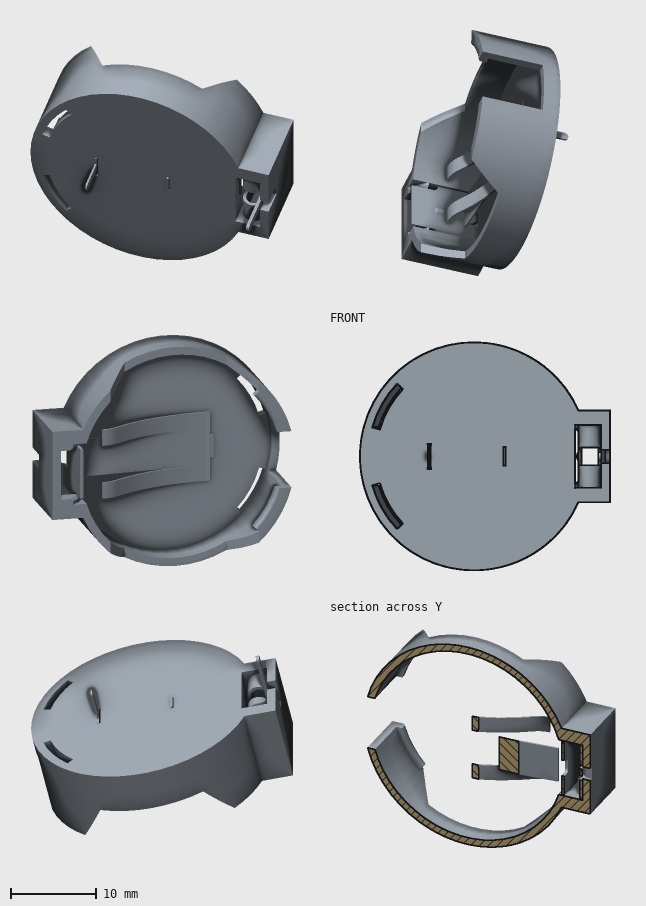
import cadquery as cq
import math


HOUSING_RADIUS = 13.375
HOUSING_DEPTH = 9.5
CAVITY_RADIUS = 12.4
FLOOR = 1.43
EPS = 0.5

CUTOUT_FLOOR = 5.05
CUTOUT_HALF_BOTTOM = 6.16
CUTOUT_HALF_TOP = 8.97

NOTCH_FLOOR = 2.04
NOTCH_HALF = 3.43

LIP_START_ANGLE = 16.0
LIP_END_ANGLE = 43.4
LIP_INNER_RADIUS = 11.68
LIP_ROUNDING = 0.42
LIP_BOTTOM = 8.43
FLOOR_SLOT_INNER_RADIUS = 11.48
FLOOR_SLOT_OUTER_RADIUS = 12.36

BLOCK_END = 15.965
BLOCK_HALF = 5.38
POCKET_START = 11.87
POCKET_END = 14.92
POCKET_HALF = 3.68
PIN_NOTCH_HALF = 0.78
PIN_NOTCH_DEPTH = 3.0
PIN_NOTCH_SLOPE_X = 0.45
PIN_NOTCH_SLOPE_Y = 0.25

BLOCK_LIP_GAP_HALF = 2.97
BLOCK_LIP_BOTTOM = 7.55
BLOCK_LIP_SLOPE = 1.6
BLOCK_LIP_BEVEL = 0.27

POSITIVE_SHEET = 0.38
POSITIVE_HALF = 3.65
POSITIVE_LEFT = 12.23
POSITIVE_BOTTOM = 0.62
POSITIVE_BACK_TOP = 7.5
NECK_START = 6.25
NECK_END = NECK_START + 0.4
WINDOW_HALF = 1.03
WINDOW_TOP = 3.6
WINDOW_CORNER = 0.5
DIMPLE_LOW = 4.18
DIMPLE_HIGH = 6.72
DIMPLE_WIDTH = 1.02
DIMPLE_CORNER = 0.38
DIMPLE_HEIGHT = 0.17
DIMPLE_TAPER = 65.0

PIN_WIDTH = 1.0
POSITIVE_PIN_LENGTH = 4.32
NEGATIVE_PIN_LENGTH = 3.75

NEGATIVE_SHEET = 0.22
TERMINAL_X = -5.44
TERMINAL_HALF = 1.38
TERMINAL_END = -2.0
TERMINAL_SLOT_LENGTH = 0.4
TERMINAL_SLOT_HALF = 1.47

SPRING_START = -5.0
SPRING_BEND = -4.4
SPRING_TILT = 4.86
SPRING_SEAT = FLOOR + NEGATIVE_SHEET
TONGUE_END = 11.6
TONGUE_HALF = 2.25
FINGER_OUTER = 4.2
FINGER_ARC_START = -2.5
FINGER_ARC_RADIUS = 19.7
FINGER_STEEPEST = 35.5
FINGER_TIP_RADIUS = 3.1
TAB_X = 3.44
TAB_HALF = 1.04
TAB_DROP = 0.22
TAB_SLOT_LENGTH = 0.31
TAB_SLOT_HALF = 1.1


def box(x0, x1, y0, y1, z0, z1):
    return cq.Workplane("XY").box(x1 - x0, y1 - y0, z1 - z0, centered=False).translate((x0, y0, z0))


def disc(radius, y0, y1):
    return cq.Workplane("XZ").circle(radius).extrude(y0 - y1).translate((0, y0, 0))


def prism(points, z0, z1):
    """Polygon in X and Y, extruded from z0 to z1."""
    return cq.Workplane("XY").workplane(offset=z0).polyline(points).close().extrude(z1 - z0)


def both_sides(body):
    return body.union(body.mirror("XY"))


def turned_sector(inner, outer, y0, y1):
    """Ring sector about Y over the lip angles on the -X, +Z side."""
    section = [(-outer, y0), (-inner, y0), (-inner, y1), (-outer, y1)]
    sweep = LIP_END_ANGLE - LIP_START_ANGLE
    turned = cq.Workplane("XY").polyline(section).close().revolve(sweep, (0, 0, 0), (0, 1, 0))
    return turned.rotate((0, 0, 0), (0, 1, 0), LIP_START_ANGLE)


def retaining_lips():
    wall_middle = (CAVITY_RADIUS + HOUSING_RADIUS) / 2
    lip = turned_sector(LIP_INNER_RADIUS, wall_middle, LIP_BOTTOM, HOUSING_DEPTH)
    inner_edge = cq.selectors.RadiusNthSelector(0)
    return both_sides(lip.faces(">Y").edges(inner_edge).fillet(LIP_ROUNDING))


def floor_slots():
    return both_sides(turned_sector(FLOOR_SLOT_INNER_RADIUS, FLOOR_SLOT_OUTER_RADIUS, -EPS, FLOOR + EPS))


def block_lips():
    outline = [
        (POCKET_START, BLOCK_LIP_BOTTOM),
        (POCKET_END, BLOCK_LIP_BOTTOM),
        (POCKET_END, HOUSING_DEPTH),
        (POCKET_START + BLOCK_LIP_SLOPE, HOUSING_DEPTH),
    ]
    lip = prism(outline, BLOCK_LIP_GAP_HALF, BLOCK_HALF)
    lip = lip.faces("<Z").edges("<X").chamfer(BLOCK_LIP_BEVEL)
    return both_sides(lip)


def finger_cutout():
    slope = (CUTOUT_HALF_TOP - CUTOUT_HALF_BOTTOM) / (HOUSING_DEPTH - CUTOUT_FLOOR)
    half_above = CUTOUT_HALF_TOP + slope * EPS
    outline = [
        (-CUTOUT_HALF_BOTTOM, CUTOUT_FLOOR),
        (CUTOUT_HALF_BOTTOM, CUTOUT_FLOOR),
        (half_above, HOUSING_DEPTH + EPS),
        (-half_above, HOUSING_DEPTH + EPS),
    ]
    return both_sides(prism(outline, BLOCK_HALF, HOUSING_RADIUS + EPS))


def pin_notch():
    slope_end = POCKET_END + PIN_NOTCH_SLOPE_X
    outline = [
        (POCKET_END - EPS, -EPS),
        (BLOCK_END + EPS, -EPS),
        (BLOCK_END + EPS, PIN_NOTCH_DEPTH),
        (slope_end, PIN_NOTCH_DEPTH),
        (POCKET_END, PIN_NOTCH_DEPTH + PIN_NOTCH_SLOPE_Y),
        (POCKET_END - EPS, PIN_NOTCH_DEPTH + PIN_NOTCH_SLOPE_Y),
    ]
    return prism(outline, -PIN_NOTCH_HALF, PIN_NOTCH_HALF)


def sheet_slot(x, length, half_width):
    return box(x, x + length, -EPS, FLOOR + EPS, -half_width, half_width)


def make_housing():
    body = disc(HOUSING_RADIUS, 0, HOUSING_DEPTH)
    body = body.union(box(0, BLOCK_END, 0, HOUSING_DEPTH, -BLOCK_HALF, BLOCK_HALF))
    body = body.cut(disc(CAVITY_RADIUS, FLOOR, HOUSING_DEPTH + EPS))
    body = body.cut(box(POCKET_START, POCKET_END, -EPS, HOUSING_DEPTH + EPS, -POCKET_HALF, POCKET_HALF))
    body = body.union(block_lips()).cut(finger_cutout()).union(retaining_lips())
    notch_start = -HOUSING_RADIUS - EPS
    body = body.cut(box(notch_start, 0, NOTCH_FLOOR, HOUSING_DEPTH + EPS, -NOTCH_HALF, NOTCH_HALF))
    body = body.cut(floor_slots()).cut(pin_notch())
    body = body.cut(sheet_slot(TERMINAL_X, TERMINAL_SLOT_LENGTH, TERMINAL_SLOT_HALF))
    return body.cut(sheet_slot(TAB_X, TAB_SLOT_LENGTH, TAB_SLOT_HALF))


def solder_pin(x, sheet, top, length):
    """Flat pin along Y with a round tip at Y = -length."""
    half = PIN_WIDTH / 2
    return (
        cq.Workplane("YZ", origin=(x, 0, 0))
        .moveTo(top, half)
        .lineTo(half - length, half)
        .threePointArc((-length, 0), (half - length, -half))
        .lineTo(top, -half)
        .close()
        .extrude(sheet)
    )


def make_positive_contact():
    bend_radius = (POCKET_END - POSITIVE_LEFT) / 2
    bend_x = POSITIVE_LEFT + bend_radius
    bend_y = POSITIVE_BOTTOM + bend_radius
    inner_radius = bend_radius - POSITIVE_SHEET
    sheet = (
        cq.Workplane("XY")
        .moveTo(POSITIVE_LEFT, HOUSING_DEPTH)
        .lineTo(POSITIVE_LEFT, bend_y)
        .threePointArc((bend_x, POSITIVE_BOTTOM), (POCKET_END, bend_y))
        .lineTo(POCKET_END, POSITIVE_BACK_TOP)
        .lineTo(POCKET_END - POSITIVE_SHEET, POSITIVE_BACK_TOP)
        .lineTo(POCKET_END - POSITIVE_SHEET, bend_y)
        .threePointArc((bend_x, bend_y - inner_radius), (bend_x - inner_radius, bend_y))
        .lineTo(bend_x - inner_radius, HOUSING_DEPTH)
        .close()
        .extrude(POSITIVE_HALF, both=True)
    )
    shoulder = (
        cq.Workplane("YZ")
        .workplane(offset=POSITIVE_LEFT)
        .polyline([
            (NECK_END, BLOCK_LIP_GAP_HALF),
            (NECK_START, BLOCK_LIP_GAP_HALF + NECK_END - NECK_START),
            (NECK_START, POSITIVE_HALF),
            (HOUSING_DEPTH, POSITIVE_HALF),
            (HOUSING_DEPTH, BLOCK_LIP_GAP_HALF),
        ])
        .close()
        .extrude(POSITIVE_SHEET)
    )
    sheet = sheet.cut(both_sides(shoulder))
    window = box(POSITIVE_LEFT - EPS, POCKET_END + EPS, 0, WINDOW_TOP, -WINDOW_HALF, WINDOW_HALF)
    window = window.edges(">Y and |X").fillet(WINDOW_CORNER)
    pin = solder_pin(POCKET_END - POSITIVE_SHEET, POSITIVE_SHEET, WINDOW_TOP, POSITIVE_PIN_LENGTH)
    dimple = (
        cq.Workplane("YZ", origin=(POSITIVE_LEFT, (DIMPLE_LOW + DIMPLE_HIGH) / 2, 0))
        .sketch()
        .rect(DIMPLE_HIGH - DIMPLE_LOW, DIMPLE_WIDTH)
        .vertices()
        .fillet(DIMPLE_CORNER)
        .finalize()
        .extrude(-DIMPLE_HEIGHT, taper=DIMPLE_TAPER)
    )
    return sheet.cut(window).union(pin).union(dimple)


def make_negative_terminal():
    leg_end = TERMINAL_X + NEGATIVE_SHEET
    strip_top = FLOOR + NEGATIVE_SHEET
    leg = box(TERMINAL_X, leg_end, 0, strip_top, -TERMINAL_HALF, TERMINAL_HALF)
    strip = box(TERMINAL_X, TERMINAL_END, FLOOR, strip_top, -TERMINAL_HALF, TERMINAL_HALF)
    pin = solder_pin(TERMINAL_X, NEGATIVE_SHEET, strip_top, NEGATIVE_PIN_LENGTH)
    return leg.union(strip).union(pin)


def spring_height(x):
    """Underside of the slanting part of the spring."""
    return SPRING_SEAT + (x - SPRING_BEND) * math.tan(math.radians(SPRING_TILT))


def spring_tongue():
    end_height = spring_height(TONGUE_END)
    outline = [
        (SPRING_START, SPRING_SEAT),
        (SPRING_BEND, SPRING_SEAT),
        (TONGUE_END, end_height),
        (TONGUE_END, end_height + NEGATIVE_SHEET),
        (SPRING_BEND, SPRING_SEAT + NEGATIVE_SHEET),
        (SPRING_START, SPRING_SEAT + NEGATIVE_SHEET),
    ]
    return prism(outline, -TONGUE_HALF, TONGUE_HALF)


def spring_finger():
    """Finger that curves up from the slant and then flattens at its tip."""
    tilt = math.radians(SPRING_TILT)
    steepest = math.radians(FINGER_STEEPEST)
    rise_x = FINGER_ARC_START - FINGER_ARC_RADIUS * math.sin(tilt)
    rise_y = spring_height(FINGER_ARC_START) + FINGER_ARC_RADIUS * math.cos(tilt)
    tip_x = rise_x + (FINGER_ARC_RADIUS + FINGER_TIP_RADIUS) * math.sin(steepest)
    tip_y = rise_y - (FINGER_ARC_RADIUS + FINGER_TIP_RADIUS) * math.cos(steepest)

    def rise_point(angle, lift):
        radius = FINGER_ARC_RADIUS - lift
        return rise_x + radius * math.sin(angle), rise_y - radius * math.cos(angle)

    def tip_point(angle, lift):
        radius = FINGER_TIP_RADIUS + lift
        return tip_x - radius * math.sin(angle), tip_y + radius * math.cos(angle)

    middle = (tilt + steepest) / 2
    return (
        cq.Workplane("XY")
        .workplane(offset=TONGUE_HALF)
        .moveTo(SPRING_START, SPRING_SEAT)
        .lineTo(SPRING_BEND, SPRING_SEAT)
        .lineTo(*rise_point(tilt, 0))
        .threePointArc(rise_point(middle, 0), rise_point(steepest, 0))
        .threePointArc(tip_point(steepest / 2, 0), tip_point(0, 0))
        .lineTo(*tip_point(0, NEGATIVE_SHEET))
        .threePointArc(tip_point(steepest / 2, NEGATIVE_SHEET), tip_point(steepest, NEGATIVE_SHEET))
        .threePointArc(rise_point(middle, NEGATIVE_SHEET), rise_point(tilt, NEGATIVE_SHEET))
        .lineTo(SPRING_BEND, SPRING_SEAT + NEGATIVE_SHEET)
        .lineTo(SPRING_START, SPRING_SEAT + NEGATIVE_SHEET)
        .close()
        .extrude(FINGER_OUTER - TONGUE_HALF)
    )


def make_negative_spring():
    spring = spring_tongue().union(both_sides(spring_finger()))
    tab_end = TAB_X + NEGATIVE_SHEET
    tab_top = spring_height(TAB_X) + NEGATIVE_SHEET / 2
    tab = box(TAB_X, tab_end, -TAB_DROP, tab_top, -TAB_HALF, TAB_HALF)
    return spring.union(tab)


housing = make_housing()
positive_contact = make_positive_contact()
negative_terminal = make_negative_terminal()
negative_spring = make_negative_spring()

result = cq.Compound.makeCompound([
    housing.val(),
    positive_contact.val(),
    negative_terminal.val(),
    negative_spring.val(),
])